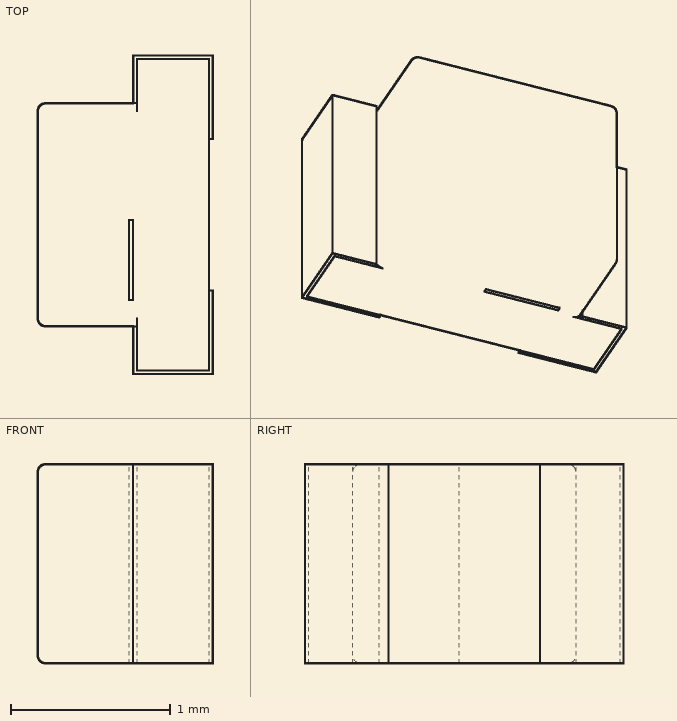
import cadquery as cq

LENGTH = 2.0
DEPTH = 1.1
HEIGHT = 1.25

BASE_DEPTH = 0.5
METAL_THICKNESS = 0.025
REAR_ARM_LENGTH = 0.525

LENS_LENGTH = 1.4
LENS_FILLET = 0.05

PLATE_THICKNESS = 0.025
PLATE_LENGTH = 0.5
PLATE_END_Y = -0.035

FRONT_X = -DEPTH / 2
REAR_X = DEPTH / 2
CAP_FRONT_X = REAR_X - BASE_DEPTH
CORE_FRONT_X = CAP_FRONT_X + METAL_THICKNESS
CORE_REAR_X = REAR_X - METAL_THICKNESS
END_Y = LENGTH / 2
CORE_END_Y = END_Y - METAL_THICKNESS
LENS_SIDE_Y = LENS_LENGTH / 2


def block(x_min, x_max, y_min, y_max):
    """Full-height block between the given X and Y limits."""
    return cq.Workplane("XY").box(x_max - x_min, y_max - y_min, HEIGHT).translate(
        ((x_min + x_max) / 2, (y_min + y_max) / 2, 0)
    )


def make_plate():
    """Thin plate through the lens, just in front of the cap faces."""
    return block(CAP_FRONT_X - PLATE_THICKNESS, CAP_FRONT_X, PLATE_END_Y - PLATE_LENGTH, PLATE_END_Y)


def make_body(plate):
    """Base core and rounded lens in one piece, with a slot for the plate."""
    core = block(CORE_FRONT_X, CORE_REAR_X, -CORE_END_Y, CORE_END_Y)
    lens = block(FRONT_X, CORE_FRONT_X, -LENS_SIDE_Y, LENS_SIDE_Y)
    lens = lens.edges("|X or <X").fillet(LENS_FILLET)
    return core.union(lens).cut(plate)


def make_terminal(side):
    """C-shaped end cap; side is +1 for the +Y end and -1 for the -Y end."""
    outline = [
        (CAP_FRONT_X, LENS_SIDE_Y),
        (CAP_FRONT_X, END_Y),
        (REAR_X, END_Y),
        (REAR_X, END_Y - REAR_ARM_LENGTH),
        (CORE_REAR_X, END_Y - REAR_ARM_LENGTH),
        (CORE_REAR_X, CORE_END_Y),
        (CORE_FRONT_X, CORE_END_Y),
        (CORE_FRONT_X, LENS_SIDE_Y),
    ]
    points = [(x, side * y) for x, y in outline]
    return cq.Workplane("XY").polyline(points).close().extrude(HEIGHT / 2, both=True)


plate = make_plate()
body = make_body(plate)
terminals = [make_terminal(side) for side in (1, -1)]

result = cq.Compound.makeCompound(
    [body.val(), plate.val(), *[terminal.val() for terminal in terminals]]
)